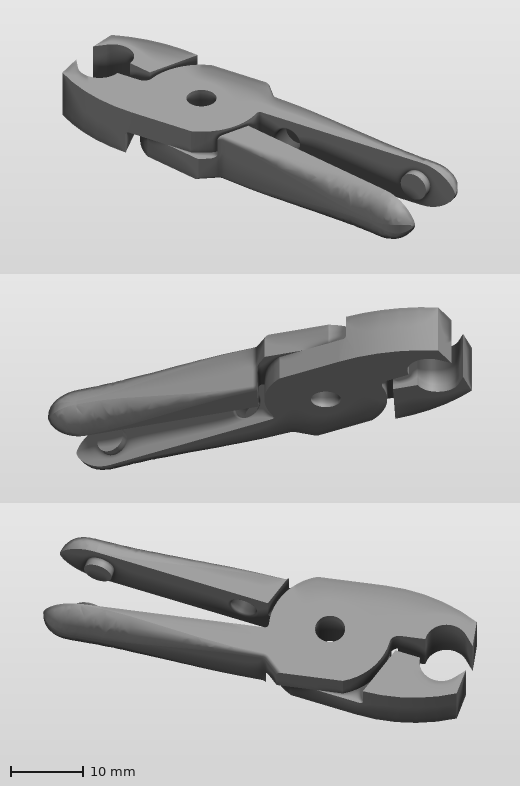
import cadquery as cq
import math

thickness = 7.0
half_thickness = thickness / 2
opening_angle = 5.3
cos_open = math.cos(math.radians(opening_angle))
sin_open = math.sin(math.radians(opening_angle))
diagonal = math.sqrt(0.5)

hub_radius = 8.55
rim_middle_angle = 145
pin_radius = 5.55
bore_radius = 2.1

side_offset = 8.0
jaw_face_x = -20.0
jaw_face_outer_y = -4.05
jaw_gap = 0.3
jaw_back_x = -6.55
throat_x = -16.35
throat_radius = 3.05
throat_lead_angle = 54
notch_radius = 1.3

step_offset = 9.4
step_angle = 21
step_fillet = 0.5

shoulder_x = 5.55
shoulder_foot_x = 7.8
shoulder_fillet = 0.95
crotch_fillet = 0.55
handle_root_x = 8.35
handle_end_x = 34.4
handle_inner_offset = 1.1
handle_outer_root_y = 6.5
handle_outer_end_y = 7.65
root_rounding = 0.55
end_rounding = 3.2
handle_stations = 9

tip_x = 39.8
dome_stations = (0, 0.2, 0.4, 0.6, 0.75, 0.87, 0.95, 0.995)
dome_width_power = 0.65
dome_height_power = 0.68
dome_flat_growth = 0.5

pad_distance = 34.05
pad_radius = 2.0
pad_height = 1.2
pad_root = 0.6
pocket_distance = 13.1
pocket_radius = 1.9
pocket_rim_fillet = 0.35
pocket_depth = 3


def opened(x, y):
    """Turn a point of the closed pliers to its place in the open pliers."""
    return (x * cos_open - y * sin_open, x * sin_open + y * cos_open)


def circle_x(radius, y):
    """Half the chord of a circle at distance y from its centre."""
    return math.sqrt(radius**2 - y**2)


def handle_inner_y(x):
    return (handle_inner_offset + x * sin_open) / cos_open


def handle_outer_y(x):
    slope = (handle_outer_end_y - handle_outer_root_y) / (handle_end_x - handle_root_x)
    return handle_outer_root_y + slope * (x - handle_root_x)


def side_y(x):
    """Upper hub side of the open half."""
    return (side_offset + x * sin_open) / cos_open


def point_on_circle(center_x, radius, degrees):
    angle = math.radians(degrees)
    return (center_x + radius * math.cos(angle), radius * math.sin(angle))


hub_side_x = circle_x(hub_radius, side_offset)
notch_corner = opened(-circle_x(hub_radius, jaw_gap), -jaw_gap)
crotch_corner = opened(circle_x(hub_radius, handle_inner_offset), handle_inner_offset)
shoulder_top = (shoulder_x, side_y(shoulder_x))
shoulder_foot = (shoulder_foot_x, handle_outer_y(shoulder_foot_x))


def jaw_arc_middle():
    """Middle of the jaw's outer arc, which runs tangent into the hub side."""
    run = jaw_back_x - jaw_face_x
    rise = side_offset + jaw_face_outer_y
    radius = (run**2 + rise**2) / (2 * rise)
    half_sweep = math.asin(run / radius) / 2
    return (
        jaw_back_x - radius * math.sin(half_sweep),
        -side_offset + radius * (1 - math.cos(half_sweep)),
    )


def plate_blank():
    """Jaw, hub and handle root at full thickness, with sharp corners."""
    lead_end = point_on_circle(throat_x, throat_radius, 270 - throat_lead_angle)
    lead_rise = (lead_end[0] - jaw_face_x) * math.tan(math.radians(throat_lead_angle))
    throat_end = (throat_x + circle_x(throat_radius, jaw_gap), -jaw_gap)
    return (
        cq.Workplane("XY", origin=(0, 0, -half_thickness))
        .moveTo(*opened(jaw_face_x, lead_end[1] + lead_rise))
        .lineTo(*opened(*lead_end))
        .threePointArc(opened(throat_x, -throat_radius), opened(*throat_end))
        .lineTo(*notch_corner)
        .threePointArc(
            opened(*point_on_circle(0, hub_radius, rim_middle_angle)),
            opened(-hub_side_x, side_offset),
        )
        .lineTo(*shoulder_top)
        .lineTo(*shoulder_foot)
        .lineTo(handle_root_x, handle_outer_y(handle_root_x))
        .lineTo(handle_root_x, handle_inner_y(handle_root_x))
        .lineTo(*crotch_corner)
        .threePointArc(
            opened(*point_on_circle(0, hub_radius, rim_middle_angle - 180)),
            opened(hub_side_x, -side_offset),
        )
        .lineTo(*opened(jaw_back_x, -side_offset))
        .threePointArc(opened(*jaw_arc_middle()), opened(jaw_face_x, jaw_face_outer_y))
        .close()
        .extrude(thickness)
    )


def step_channel():
    """Room under the hub plate for the other half's hub."""
    length = 4 * hub_radius
    return (
        cq.Workplane("XY")
        .box(2 * step_offset, length, thickness, centered=(True, True, False))
        .translate((0, 0, -thickness))
        .edges(">Z and |Y")
        .fillet(step_fillet)
        .rotate((0, 0, 0), (0, 0, 1), step_angle)
    )


def nearest(x, y, z):
    return cq.selectors.NearestToPointSelector((x, y, z))


def plate():
    """Jaw, hub and handle root with rounded corners and shoulder."""
    body = plate_blank()
    corners = (
        (notch_corner, notch_radius),
        (shoulder_foot, shoulder_fillet),
    )
    for corner, radius in corners:
        body = body.edges("|Z").edges(nearest(*corner, 0)).fillet(radius)
    shoulder_middle = [(a + b) / 2 for a, b in zip(shoulder_top, shoulder_foot)]
    for z in (-half_thickness, half_thickness):
        body = body.edges(nearest(*shoulder_middle, z)).fillet(root_rounding)
    return body


def crotch_web():
    """Concave corner between the hub rim and the handle's inner face, tangent to both."""
    center_y = handle_inner_offset - crotch_fillet
    center_x = circle_x(hub_radius + crotch_fillet, center_y)
    rim_share = hub_radius / (hub_radius + crotch_fillet)
    rim_end = (center_x * rim_share, center_y * rim_share)
    face_end = (center_x, handle_inner_offset)
    middle = (
        center_x - crotch_fillet * diagonal,
        center_y + crotch_fillet * diagonal,
    )
    return (
        cq.Workplane("XY")
        .moveTo(*opened(*rim_end))
        .threePointArc(opened(*middle), opened(*face_end))
        .lineTo(*opened(center_x, handle_inner_offset + crotch_fillet))
        .lineTo(*opened(rim_end[0] - crotch_fillet, handle_inner_offset + crotch_fillet))
        .lineTo(*opened(rim_end[0] - crotch_fillet, rim_end[1]))
        .close()
        .extrude(half_thickness)
    )


def handle_section(x, inner_y, outer_y, half_height, round_y, round_z):
    """Closed section at x: flat inner face, two rounded outer corners."""
    flat_y = outer_y - round_y
    flat_z = half_height - round_z
    arc_y = flat_y + round_y * diagonal
    arc_z = flat_z + round_z * diagonal
    return (
        cq.Workplane("YZ", origin=(x, 0, 0))
        .moveTo(inner_y, -half_height)
        .lineTo(flat_y, -half_height)
        .threePointArc((arc_y, -arc_z), (outer_y, -flat_z))
        .lineTo(outer_y, flat_z)
        .threePointArc((arc_y, arc_z), (flat_y, half_height))
        .lineTo(inner_y, half_height)
        .close()
        .val()
    )


def handle_grip():
    """Handle whose outer corner rounding grows smoothly from root to end."""
    sections = []
    for station in range(handle_stations):
        t = station / (handle_stations - 1)
        x = handle_root_x + t * (handle_end_x - handle_root_x)
        rounding = root_rounding + (end_rounding - root_rounding) * t**2 * (3 - 2 * t)
        sections.append(
            handle_section(x, handle_inner_y(x), handle_outer_y(x), half_thickness, rounding, rounding)
        )
    return cq.Workplane(cq.Solid.makeLoft(sections))


def handle_dome():
    """Pointed dome closing the handle end."""
    end_width = handle_outer_y(handle_end_x) - handle_inner_y(handle_end_x)
    flat_share = 1 - end_rounding / half_thickness
    sections = []
    for t in dome_stations:
        x = handle_end_x + t * (tip_x - handle_end_x)
        width = end_width * (1 - t**3) ** dome_width_power
        height = half_thickness * (1 - t**2) ** dome_height_power
        round_y = width * end_rounding / end_width
        round_z = height * (1 - flat_share - dome_flat_growth * t**2)
        inner_y = handle_inner_y(x)
        sections.append(handle_section(x, inner_y, inner_y + width, height, round_y, round_z))
    return cq.Workplane(cq.Solid.makeLoft(sections))


def inner_face_disc(distance, radius, depth, height):
    """Disc square to the handle's inner face, from depth below the face to height above it."""
    base = cq.Plane(
        origin=(*opened(distance, handle_inner_offset + depth), 0),
        xDir=(cos_open, sin_open, 0),
        normal=(sin_open, -cos_open, 0),
    )
    return cq.Workplane(base).circle(radius).extrude(depth + height)


def plier_half():
    pivot_hole = cq.Workplane("XY").circle(pin_radius).extrude(thickness, both=True)
    return (
        plate()
        .union(handle_grip())
        .union(handle_dome())
        .union(crotch_web())
        .union(inner_face_disc(pad_distance, pad_radius, pad_root, pad_height))
        .cut(inner_face_disc(pocket_distance, pocket_radius, pocket_depth, 0))
        .cut(step_channel())
        .cut(pivot_hole)
        .edges(nearest(*opened(pocket_distance, handle_inner_offset), 0))
        .fillet(pocket_rim_fillet)
    )


def pivot_pin():
    return (
        cq.Workplane("XY", origin=(0, 0, -half_thickness))
        .circle(pin_radius)
        .circle(bore_radius)
        .extrude(thickness)
    )


base_half = plier_half()
halves = [base_half.rotate((0, 0, 0), (1, 0, 0), turn) for turn in (0, 180)]
pin = pivot_pin()

result = cq.Compound.makeCompound([*[half.val() for half in halves], pin.val()])